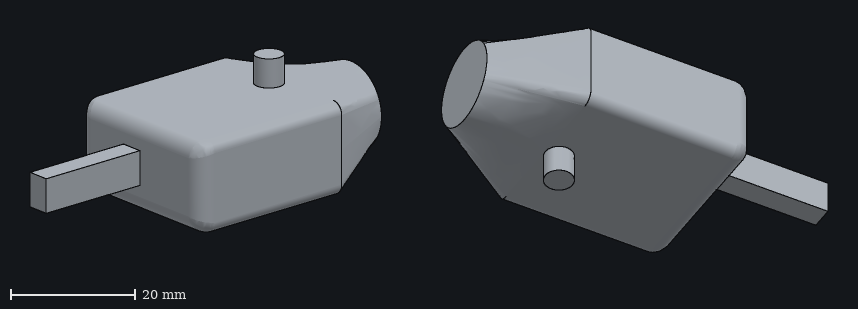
import cadquery as cq

total_length = 65.0
body_width = 30.0
body_length = 30.0
body_height = 16.0
side_radius = 2.0
front_radius = 3.0

neck_length = body_length / 2
neck_end_diameter = body_width / 2

blade_length = total_length - body_length - neck_length
blade_width = 4.0
blade_height = 6.0

pin_diameter = 5.0
pin_length = 26.0


def make_body():
    """Block with its front face at Y = 0, rounded except at the rear."""
    block = cq.Workplane("XY").box(
        body_width, body_length, body_height, centered=(True, False, True)
    )
    rounded = block.edges("|Y").fillet(side_radius)
    return rounded.faces("<Y").edges().fillet(front_radius)


def make_neck():
    """Loft from the rounded rear section of the body to the round end."""
    section = cq.Sketch().rect(body_width, body_height).vertices().fillet(side_radius)
    end = cq.Sketch().circle(neck_end_diameter / 2)
    rear_plane = cq.Workplane("XZ", origin=(0, body_length, 0))
    return rear_plane.placeSketch(
        section, end.moved(cq.Location(cq.Vector(0, 0, -neck_length)))
    ).loft()


def make_blade():
    """Bar with one side on the middle plane, buried to the depth of the front rounding."""
    return (
        cq.Workplane("XY")
        .box(blade_width, blade_length + front_radius, blade_height, centered=(False, False, True))
        .translate((-blade_width, -blade_length, 0))
    )


def make_pin():
    pin_y = body_length - pin_diameter / 2
    return (
        cq.Workplane("XY", origin=(0, pin_y, -pin_length / 2))
        .circle(pin_diameter / 2)
        .extrude(pin_length)
    )


result = make_body().union(make_neck()).union(make_blade()).union(make_pin())